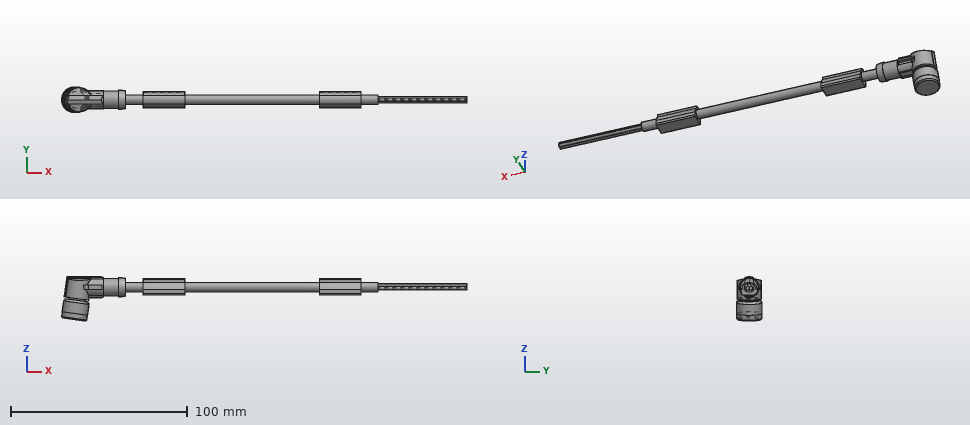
import cadquery as cq
import math

TOTAL_LENGTH = 229.1
JACKET_RADIUS = 2.7
JACKET_END = 179.0

WIRE_COUNT = 3
WIRE_RADIUS = 1.0
WIRE_PITCH_RADIUS = 1.1
WIRE_TURN = 90
WIRE_OVERLAP = 2.3

MARKER_LENGTH = 23.5
MARKER_STARTS = (46.0, 145.7)
CAP_HALF_WIDTH = 2.3
CAP_TOP = 5.0
CAP_EDGE = 4.4
SHOULDER_TOP = 2.7
SHOULDER_HALF_WIDTH = 4.4
SHOULDER_BOTTOM = -1.0
SHOULDER_BULGE = 0.2
FOOT_HALF_WIDTH = 4.5
FOOT_STEP = -1.4
FOOT_CORNER = -3.5
FOOT_BOTTOM = -4.4
FOOT_CHAMFER = 0.5

ARM_START = 9.2
ARM_END = 23.5
ARM_RADIUS = 5.3
RELIEF_RADIUS = 5.0
RELIEF_END = 36.2
COLLAR_START = 32.3
COLLAR_RADIUS = 5.5
COLLAR_BULGE = 0.14

BAND_HALF_WIDTH = 2.5
BAND_PEAK = 6.2
BAND_EDGE = 5.5
BAND_END_TAPER = 1.4
BAND_END_HEIGHT = 5.5
BOTTOM_BAND_START = 13.7

RECESS_START = 12.0
RECESS_RAMP_END = 15.4
RECESS_END = 23.0
RECESS_HALF_HEIGHT = 1.4
RECESS_FLOOR = 3.5

TILT = 8.0
LEAN = math.radians(TILT)
NUT_TOP_Z = -7.3
NUT_RADIUS = 7.3
NUT_LENGTH = 11.0
NUT_CHAMFER = 0.7
NUT_SHOULDER_HEIGHT = 1.4
NUT_SHOULDER_INSET = 1.0
NUT_LINE_HEIGHT = 3.5
NUT_LINE_STEP = 0.11
NECK_RADIUS = 4.8
NECK_GAP = 1.0
HEAD_RADIUS = 6.9
NUT_LOW_RADIUS = NUT_RADIUS - NUT_LINE_STEP
NUT_TOP_X = NUT_LOW_RADIUS * math.cos(LEAN) + (NUT_LENGTH - NUT_CHAMFER) * math.sin(LEAN)
HEAD_RAW_HEIGHT = 18.3
HEAD_BAND_PEAK = 7.3
HEAD_BAND_EDGE = 6.6
ROOF_CENTRE = 5.5
ROOF_EDGE = 4.0


def rod(start, end, radius):
    """Round bar along the cable axis."""
    return cq.Workplane("YZ", origin=(start, 0, 0)).circle(radius).extrude(end - start)


def make_wires():
    start = JACKET_END - WIRE_OVERLAP
    wires = cq.Workplane("YZ", origin=(start, 0, 0))
    wires = wires.polarArray(WIRE_PITCH_RADIUS, WIRE_TURN, 360, WIRE_COUNT)
    return wires.circle(WIRE_RADIUS).extrude(TOTAL_LENGTH - start)


def make_marker(start):
    """Saddle-shaped sleeve: rounded cap, sloping shoulders and a chamfered foot."""
    middle_y = (CAP_HALF_WIDTH + SHOULDER_HALF_WIDTH) / 2 + SHOULDER_BULGE
    middle_z = (SHOULDER_TOP + SHOULDER_BOTTOM) / 2 + SHOULDER_BULGE
    bottom_half_width = FOOT_HALF_WIDTH - FOOT_CHAMFER
    return (
        cq.Workplane("YZ", origin=(start, 0, 0))
        .moveTo(-CAP_HALF_WIDTH, CAP_EDGE)
        .threePointArc((0, CAP_TOP), (CAP_HALF_WIDTH, CAP_EDGE))
        .lineTo(CAP_HALF_WIDTH, SHOULDER_TOP)
        .threePointArc((middle_y, middle_z), (SHOULDER_HALF_WIDTH, SHOULDER_BOTTOM))
        .lineTo(FOOT_HALF_WIDTH, FOOT_STEP)
        .lineTo(FOOT_HALF_WIDTH, FOOT_CORNER)
        .lineTo(bottom_half_width, FOOT_BOTTOM)
        .lineTo(-bottom_half_width, FOOT_BOTTOM)
        .lineTo(-FOOT_HALF_WIDTH, FOOT_CORNER)
        .lineTo(-FOOT_HALF_WIDTH, FOOT_STEP)
        .lineTo(-SHOULDER_HALF_WIDTH, SHOULDER_BOTTOM)
        .threePointArc((-middle_y, middle_z), (-CAP_HALF_WIDTH, SHOULDER_TOP))
        .close()
        .extrude(MARKER_LENGTH)
    )


def make_strain_relief():
    collar_crown = ((COLLAR_START + RELIEF_END) / 2, (COLLAR_RADIUS + RELIEF_RADIUS) / 2 + COLLAR_BULGE)
    return (
        cq.Workplane("XZ")
        .moveTo(ARM_END, 0)
        .lineTo(ARM_END, RELIEF_RADIUS)
        .lineTo(COLLAR_START, RELIEF_RADIUS)
        .lineTo(COLLAR_START, COLLAR_RADIUS)
        .threePointArc(collar_crown, (RELIEF_END, RELIEF_RADIUS))
        .lineTo(RELIEF_END, 0)
        .close()
        .revolve(360, (0, 0, 0), (1, 0, 0))
    )


def ridge_band(start, side):
    """Ridged band along the arm, on top (side = 1) or below (side = -1)."""
    band = (
        cq.Workplane("YZ", origin=(start, 0, 0))
        .moveTo(-BAND_HALF_WIDTH, 0)
        .lineTo(-BAND_HALF_WIDTH, side * BAND_EDGE)
        .lineTo(0, side * BAND_PEAK)
        .lineTo(BAND_HALF_WIDTH, side * BAND_EDGE)
        .lineTo(BAND_HALF_WIDTH, 0)
        .close()
        .extrude(ARM_END - start)
    )
    tapered_side = (
        cq.Workplane("XZ")
        .moveTo(start, 0)
        .lineTo(start, side * BAND_PEAK)
        .lineTo(ARM_END - BAND_END_TAPER, side * BAND_PEAK)
        .lineTo(ARM_END, side * BAND_END_HEIGHT)
        .lineTo(ARM_END, 0)
        .close()
        .extrude(BAND_HALF_WIDTH, both=True)
    )
    return band.intersect(tapered_side)


def gable(peak, slope):
    """Block around the head, topped by a roof that falls away evenly on both sides of Y = 0."""
    reach = 2 * HEAD_RADIUS
    floor = NUT_TOP_Z - HEAD_RADIUS
    eave = peak - slope * reach
    outline = [(-reach, floor), (-reach, eave), (0, peak), (reach, eave), (reach, floor)]
    block = cq.Workplane("YZ", origin=(NUT_TOP_X, 0, 0)).polyline(outline).close()
    return block.extrude(reach, both=True)


def make_head(axis_plane):
    """Leaning round head with a ridge down its front, cut to a shallow roof."""
    head = cq.Workplane(axis_plane).workplane(offset=NECK_GAP)
    ridge = (
        head.moveTo(0, -BAND_HALF_WIDTH)
        .lineTo(-HEAD_BAND_EDGE, -BAND_HALF_WIDTH)
        .lineTo(-HEAD_BAND_PEAK, 0)
        .lineTo(-HEAD_BAND_EDGE, BAND_HALF_WIDTH)
        .lineTo(0, BAND_HALF_WIDTH)
        .close()
        .extrude(HEAD_RAW_HEIGHT)
    )
    barrel = head.circle(HEAD_RADIUS).extrude(HEAD_RAW_HEIGHT)

    barrel_roof = gable(ROOF_CENTRE, (ROOF_CENTRE - ROOF_EDGE) / HEAD_RADIUS)
    ridge_roof = gable(BAND_PEAK, (BAND_PEAK - BAND_EDGE) / BAND_HALF_WIDTH)
    return barrel.intersect(barrel_roof).union(ridge.intersect(ridge_roof))


def make_nut(axis_plane):
    """Round nut with a sloping shoulder, plus the slim neck that carries it."""
    line_depth = NUT_LINE_HEIGHT - NUT_LENGTH
    nut = (
        cq.Workplane(axis_plane)
        .circle(NUT_RADIUS)
        .extrude(line_depth)
        .faces(">Z")
        .chamfer(NUT_SHOULDER_HEIGHT, NUT_SHOULDER_INSET)
    )
    lower = cq.Workplane(axis_plane).workplane(offset=line_depth).circle(NUT_LOW_RADIUS)
    lower = lower.extrude(-NUT_LINE_HEIGHT).faces("<Z").chamfer(NUT_CHAMFER)
    neck = cq.Workplane(axis_plane).circle(NECK_RADIUS).extrude(NECK_GAP + NECK_RADIUS)
    return nut.union(lower).union(neck)


def make_recess(side):
    """Cutter for the slot in one side of the arm, with a ramp at the elbow end."""
    mouth = side * HEAD_RADIUS
    floor = side * RECESS_FLOOR
    corners = [(RECESS_START, mouth), (RECESS_RAMP_END, floor), (RECESS_END, floor), (RECESS_END, mouth)]
    return cq.Workplane("XY").polyline(corners).close().extrude(RECESS_HALF_HEIGHT, both=True)


def make_elbow():
    axis_plane = cq.Plane(
        origin=(NUT_TOP_X, 0, NUT_TOP_Z),
        xDir=(math.cos(LEAN), 0, -math.sin(LEAN)),
        normal=(math.sin(LEAN), 0, math.cos(LEAN)),
    )
    elbow = make_head(axis_plane)
    elbow = elbow.union(rod(ARM_START, ARM_END, ARM_RADIUS))
    elbow = elbow.union(ridge_band(ARM_START, 1))
    elbow = elbow.union(ridge_band(BOTTOM_BAND_START, -1))
    for side in (-1, 1):
        elbow = elbow.cut(make_recess(side))
    return elbow.union(make_nut(axis_plane)).union(make_strain_relief())


result = make_elbow().union(rod(ARM_END, JACKET_END, JACKET_RADIUS)).union(make_wires())
for marker_start in MARKER_STARTS:
    result = result.union(make_marker(marker_start))